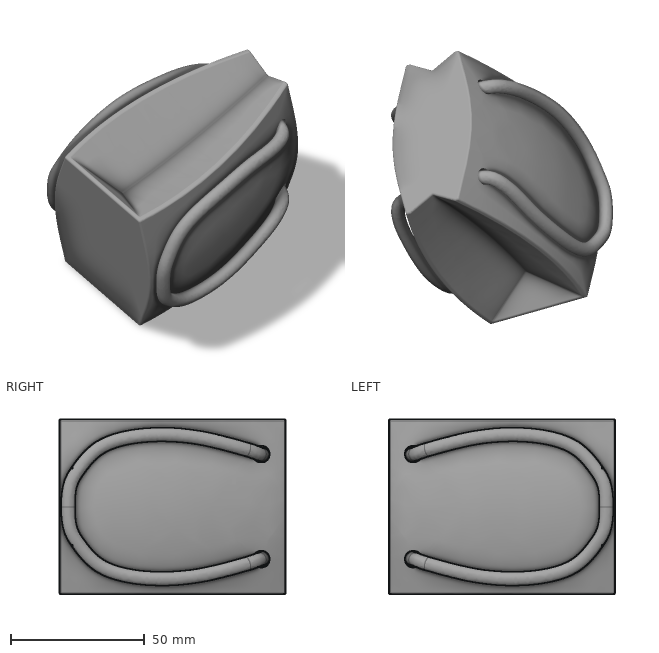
import cadquery as cq
import math

BAG_LENGTH = 84.8
BAG_HEIGHT = 65.65
BACK_Y = BAG_LENGTH / 2
FRONT_Y = -BACK_Y
RIM_Z = BAG_HEIGHT / 2

RIM_CURVE = [(11.0, BACK_Y), (19.1, 15.0), (22.7, -12.3), (20.6, FRONT_Y)]
SIDE_BULGE = 5.8
SECTION_COUNT = 5
EDGE_FILLET = 0.8

RIM_WIDTH = 1.8
FRONT_RIM_WIDTH = 1.6
GUSSET_SLOPE = 30.0
FRONT_SLOPE = 53.0
GUSSET_REACH = 17.0
GUSSET_OVERSHOOT = 1.7
CREASE_FILLET = 0.85
CUTTER_HALF_WIDTH = 50.9
CREASE_BOX = ((-11.0, -38.2, -28.8), (11.0, 25.45, 28.8))

CORD_RADIUS = 2.59
LOOP_POINTS = [
    (22.1, 28.0, 21.4),
    (25.5, 12.0, 25.45),
    (27.6, -6.2, 27.0),
    (27.9, -18.3, 25.5),
    (28.25, -28.75, 21.0),
    (29.35, -35.9, 13.0),
    (30.15, -39.1, 0.0),
]
BEND_END = (17.4, 32.6, 19.8)
BEND_OUTWARD = (1.0, -0.3, 0.1)
BEND_FORWARD = (0.45, -1.0, 0.28)
LOOP_FRONT_DIRECTION = (0.0, 0.0, -1.0)

HOLE_RADIUS = 3.1
HOLE_Y = 33.25
HOLE_Z = 19.7
HOLE_FLOOR_X = 12.7
HOLE_LENGTH = 17.0


def bulge_at(z):
    """Extra half width at height z: full at mid height, straightening to zero at the rims."""
    t = abs(z) / RIM_Z
    return SIDE_BULGE * (1 - (3 * t**2 - t**3) / 2)


def side_points(offset):
    """Points of the +X rim curve moved by offset along X, from mouth to base."""
    return [(half_width + offset, y) for half_width, y in RIM_CURVE]


def bag_outline(z):
    """Closed outline of the bag at height z."""
    right = side_points(bulge_at(z))
    left = [(-x, y) for x, y in reversed(right)]
    return (
        cq.Workplane("XY", origin=(0, 0, z))
        .moveTo(*right[0])
        .spline(right[1:], includeCurrent=True)
        .lineTo(*left[0])
        .spline(left[1:], includeCurrent=True)
        .close()
        .val()
    )


def side_slope_outline(z):
    """Outline at height z of the space inward of the sloping +X gusset wall."""
    offset = -RIM_WIDTH - (RIM_Z - z) / math.tan(math.radians(GUSSET_SLOPE))
    wall = side_points(offset)
    return (
        cq.Workplane("XY", origin=(0, 0, z))
        .moveTo(*wall[0])
        .spline(wall[1:], includeCurrent=True)
        .lineTo(-CUTTER_HALF_WIDTH, FRONT_Y)
        .lineTo(-CUTTER_HALF_WIDTH, BACK_Y)
        .close()
        .val()
    )


def gusset_cutter():
    """Space of the upper gusset: between two sloping side walls and a sloping front wall."""
    low_z = RIM_Z - GUSSET_REACH
    high_z = RIM_Z + GUSSET_OVERSHOOT
    right = cq.Workplane(
        cq.Solid.makeLoft([side_slope_outline(low_z), side_slope_outline(high_z)], True)
    )
    left = right.mirror("YZ")
    front_tan = math.tan(math.radians(FRONT_SLOPE))
    rim_y = FRONT_Y + FRONT_RIM_WIDTH
    front = (
        cq.Workplane("YZ")
        .moveTo(rim_y + GUSSET_REACH / front_tan, low_z)
        .lineTo(rim_y - GUSSET_OVERSHOOT / front_tan, high_z)
        .lineTo(BACK_Y, high_z)
        .lineTo(BACK_Y, low_z)
        .close()
        .extrude(CUTTER_HALF_WIDTH, both=True)
    )
    return right.intersect(left).intersect(front)


def cord_hole(side):
    """Round hole for a cord end, with a flat floor, on the upper half of one side."""
    return cq.Workplane(
        cq.Solid.makeCylinder(
            HOLE_RADIUS,
            HOLE_LENGTH,
            cq.Vector(side * HOLE_FLOOR_X, HOLE_Y, HOLE_Z),
            cq.Vector(side, 0, 0),
        )
    )


def upper_and_lower(shape):
    """The shape and its mirror image below mid height."""
    return [shape, shape.mirror("XY")]


def make_bag():
    """Solid bag with bulging sides, a gusset in +Z and in -Z, and four cord holes."""
    heights = [RIM_Z * (2 * i / (SECTION_COUNT - 1) - 1) for i in range(SECTION_COUNT)]
    block = cq.Workplane(cq.Solid.makeLoft([bag_outline(z) for z in heights]))
    cutter = gusset_cutter()
    bag = block.cut(cutter).cut(cutter.mirror("XY"))
    creases = cq.selectors.BoxSelector(*CREASE_BOX)
    bag = bag.edges(creases).fillet(CREASE_FILLET)
    bag = bag.edges(-creases).fillet(EDGE_FILLET)
    for side in (1, -1):
        for hole in upper_and_lower(cord_hole(side)):
            bag = bag.cut(hole)
    return bag


def make_handle():
    """Cord handle on the +X side: a tail in the bag, a bend and half a loop, mirrored in Z."""
    outward = cq.Vector(*BEND_OUTWARD).normalized()
    forward = cq.Vector(*BEND_FORWARD).normalized()
    bend_start = cq.Vector(*LOOP_POINTS[0])
    bend_end = cq.Vector(*BEND_END)
    tail_length = (bend_end.x - HOLE_FLOOR_X) / outward.x
    tail_start = bend_end - outward * tail_length

    tail = cq.Edge.makeLine(tail_start, bend_end)
    bend = cq.Edge.makeSpline([bend_end, bend_start], tangents=[outward, forward])
    loop = cq.Edge.makeSpline(
        [cq.Vector(*point) for point in LOOP_POINTS],
        tangents=[forward, cq.Vector(*LOOP_FRONT_DIRECTION)],
    )
    path = cq.Wire.assembleEdges([tail, bend, loop])
    tail_plane = cq.Plane(tail_start, normal=outward)
    upper = cq.Workplane(tail_plane).circle(CORD_RADIUS).sweep(path)
    return upper.union(upper.mirror("XY"))


right_handle = make_handle()
left_handle = right_handle.mirror("YZ")
bag = make_bag().cut(right_handle).cut(left_handle)

result = cq.Compound.makeCompound(
    [bag.solids().val(), right_handle.solids().val(), left_handle.solids().val()]
)